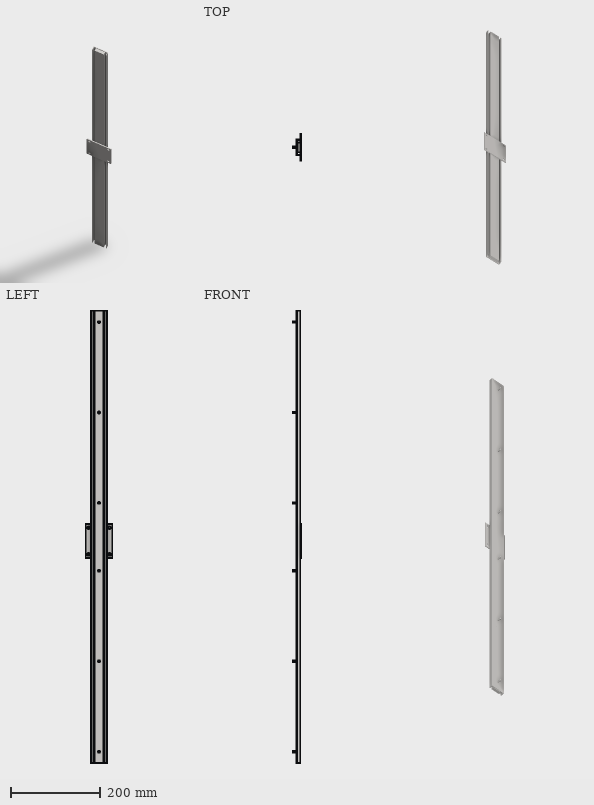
import cadquery as cq

length = 1016.0
rail_width = 36.0
rail_depth = 9.0
wall = 1.5
rib_width = 23.0
rib_cavity_depth = 1.0
web_clearance_diameter = 4.6

plate_width = 60.4
plate_height = 77.0
plate_thickness = 2.0
plate_center_z = -9.4
mount_hole_diameter = 5.5
mount_hole_spacing_y = 47.0
mount_hole_spacing_z = 60.0

overall_depth = 19.25
pin_diameter = 4.0
pin_projection = overall_depth - rail_depth - plate_thickness
pin_pitch = 203.2
middle_pin_spacing = 152.4
pins_per_half = 3

pin_length = pin_projection + wall + rib_cavity_depth

upper_pin_heights = [middle_pin_spacing / 2 + i * pin_pitch for i in range(pins_per_half)]
pin_heights = [side * z for z in upper_pin_heights for side in (-1, 1)]


def block(start_x, size_x, size_y, size_z, center_z=0.0):
    """Box centred on Y = 0 that runs from start_x towards +X."""
    return (
        cq.Workplane("XY")
        .box(size_x, size_y, size_z, centered=(False, True, True))
        .translate((start_x, 0, center_z))
    )


def rod(start_x, size_x, diameter, center_z):
    """Cylinder along X, centred on Y = 0."""
    return (
        cq.Workplane("YZ")
        .workplane(offset=start_x)
        .center(0, center_z)
        .circle(diameter / 2)
        .extrude(size_x)
    )


def make_rail():
    """C section with a box rib, and a clearance hole in the web around each pin."""
    outside = block(0, rail_depth, rail_width, length)
    hollow = block(wall, rail_depth - wall, rail_width - 2 * wall, length)
    rib = block(wall, rail_depth - wall, rib_width, length)
    rib_cavity = block(wall, rib_cavity_depth, rib_width - 2 * wall, length)
    rail = outside.cut(hollow.cut(rib)).cut(rib_cavity)
    for z in pin_heights:
        rail = rail.cut(rod(0, wall, web_clearance_diameter, z))
    return rail


def make_plate():
    """Flat plate with a mounting hole near each corner."""
    plate = block(rail_depth, plate_thickness, plate_width, plate_height, plate_center_z)
    mount_holes = (
        cq.Workplane("YZ")
        .workplane(offset=rail_depth)
        .center(0, plate_center_z)
        .rect(mount_hole_spacing_y, mount_hole_spacing_z, forConstruction=True)
        .vertices()
        .circle(mount_hole_diameter / 2)
        .extrude(plate_thickness)
    )
    return plate.cut(mount_holes)


def make_pin(center_z):
    """Round pin that reaches through the web and across the cavity to the thick part of the rib."""
    return rod(-pin_projection, pin_length, pin_diameter, center_z)


rail = make_rail()
plate = make_plate()
pins = [make_pin(z) for z in pin_heights]

result = cq.Compound.makeCompound([rail.val(), plate.val(), *[pin.val() for pin in pins]])